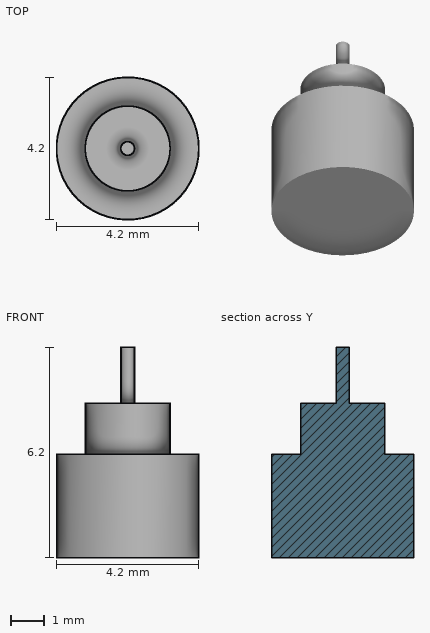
import cadquery as cq

total_height = 6.2
body_height = 3.05
collar_height = 1.5
pin_height = total_height - body_height - collar_height

body_diameter = 4.2
collar_diameter = 2.5
insulator_diameter = 1.95
pin_diameter = 0.4

collar_top = body_height + collar_height
base_z = -total_height / 2


def cylinder(diameter, bottom, height):
    """Upright cylinder on the Z axis, with bottom measured from the base."""
    return cq.Workplane("XY").workplane(offset=base_z + bottom).circle(diameter / 2).extrude(height)


body = cylinder(body_diameter, 0, body_height)
insulator = cylinder(insulator_diameter, body_height, collar_height)
collar = cylinder(collar_diameter, body_height, collar_height).cut(insulator)
pin = cylinder(pin_diameter, collar_top, pin_height)

result = body.union(collar, clean=False).union(insulator, clean=False).union(pin, clean=False)